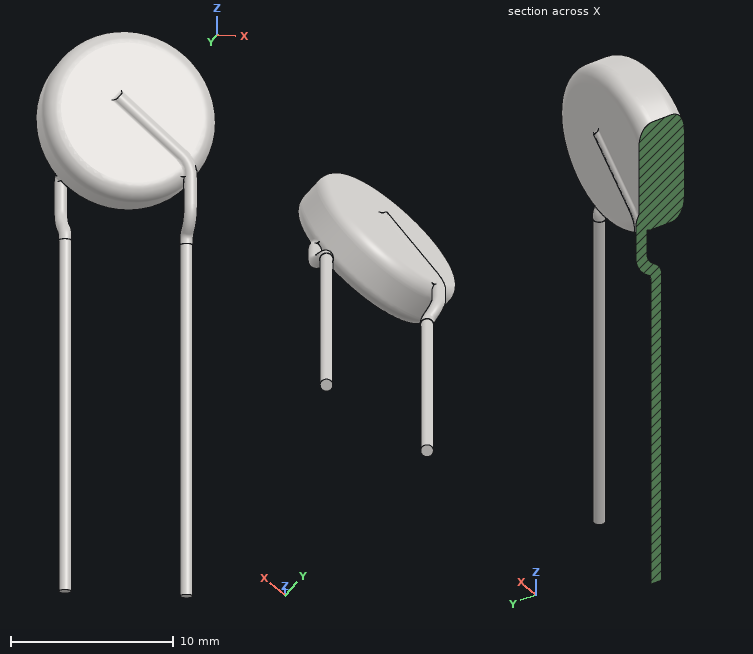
import cadquery as cq
import math

body_diameter = 11.0
body_thickness = 3.4
body_edge_radius = 1.0

coated_diameter = 0.85
bare_diameter = 0.8
overall_depth = 3.85
overall_height = 36.0
lead_pitch = 7.5

face_bend_bottom_z = -3.85
crank_top_z = -5.68
crank_drop = 1.95
coating_tail = 0.25

crank_upper_share = 2.0 / 3.0

oblique_angle = math.radians(41.0)
face_bend_radius = 1.8
oblique_tip_x = -0.85
face_fillet_radius = 0.2

tolerance = 0.01

face_y = -body_thickness / 2
rim_radius = body_diameter / 2 - body_edge_radius
lead_x = lead_pitch / 2
face_wire_y = -(overall_depth - coated_diameter) / 2
leg_y = -bare_diameter / 2
crank_bottom_z = crank_top_z - crank_drop
coating_end_z = crank_bottom_z - coating_tail
leg_bottom_z = body_diameter / 2 - overall_height


def make_body():
    back = cq.Workplane("XZ", origin=(0, body_thickness / 2, 0))
    disc = back.circle(body_diameter / 2).extrude(body_thickness)
    return disc.edges().fillet(body_edge_radius)


def make_face_wire():
    """Wire from the foot of the face bend up to the tip of the oblique run."""
    turn = math.pi / 2 - oblique_angle
    bend_centre_x = lead_x - face_bend_radius

    def bend_point(angle):
        return (
            bend_centre_x + face_bend_radius * math.cos(angle),
            face_bend_bottom_z + face_bend_radius * math.sin(angle),
        )

    bend_end = bend_point(turn)
    tip = (oblique_tip_x, bend_end[1] + (bend_end[0] - oblique_tip_x) * math.tan(oblique_angle))
    path = (
        cq.Workplane("XZ", origin=(0, face_wire_y, 0))
        .moveTo(lead_x, face_bend_bottom_z)
        .threePointArc(bend_point(turn / 2), bend_end)
        .lineTo(*tip)
    )
    profile = cq.Workplane("XY", origin=(lead_x, face_wire_y, face_bend_bottom_z))
    return profile.circle(coated_diameter / 2).sweep(path)


def make_lower_lead():
    """Straight drop, inward crank and coating tail, then the bare leg."""
    offset = leg_y - face_wire_y
    crank_angle = 2 * math.atan(offset / crank_drop)
    radius_sum = crank_drop / math.sin(crank_angle)
    upper_radius = crank_upper_share * radius_sum
    lower_radius = radius_sum - upper_radius

    def upper_point(angle):
        return (
            face_wire_y + upper_radius * (1 - math.cos(angle)),
            crank_top_z - upper_radius * math.sin(angle),
        )

    def lower_point(angle):
        return (
            leg_y - lower_radius * (1 - math.cos(angle)),
            crank_bottom_z + lower_radius * math.sin(angle),
        )

    path = (
        cq.Workplane("YZ", origin=(lead_x, 0, 0))
        .moveTo(face_wire_y, face_bend_bottom_z)
        .lineTo(face_wire_y, crank_top_z)
        .threePointArc(upper_point(crank_angle / 2), upper_point(crank_angle))
        .threePointArc(lower_point(crank_angle / 2), (leg_y, crank_bottom_z))
        .lineTo(leg_y, coating_end_z)
    )
    start = cq.Workplane("XY", origin=(lead_x, face_wire_y, face_bend_bottom_z))
    coated = start.circle(coated_diameter / 2).sweep(path)
    leg_length = coating_end_z - leg_bottom_z
    leg_base = cq.Workplane("XY", origin=(lead_x, leg_y, leg_bottom_z))
    return coated.union(leg_base.circle(bare_diameter / 2).extrude(leg_length))


def half_turn(shape):
    return shape.rotate((0, 0, 0), (0, 0, 1), 180)


def join_face_wire(solid):
    """Add a face wire on the -Y side and blend it into the flat disc face."""
    joined = solid.union(make_face_wire())

    def is_joint(edge):
        box = edge.BoundingBox()
        on_face = max(abs(box.ymin - face_y), abs(box.ymax - face_y)) < tolerance
        on_rim = edge.geomType() == "CIRCLE" and edge.radius() > rim_radius - tolerance
        return on_face and not on_rim

    joints = [edge for edge in joined.edges().vals() if is_joint(edge)]
    return joined.newObject(joints).fillet(face_fillet_radius)


blended = join_face_wire(make_body())
result = blended.union(half_turn(blended))

lower_lead = make_lower_lead()
result = result.union(lower_lead).union(half_turn(lower_lead))